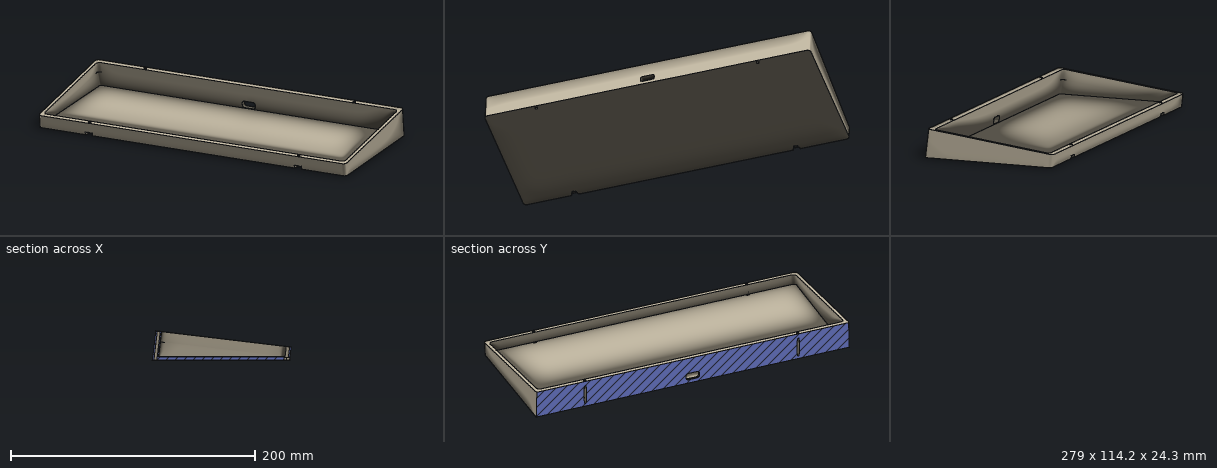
import cadquery as cq
import math

WIDTH = 279.0
DEPTH = 114.2
BACK_HEIGHT = 24.3
TILT = 6.8
CORNER_RADIUS = 3.0

FRONT_WALL = 4.2
BACK_WALL = 5.0
SIDE_WALL = 3.0
POCKET_DEPTH = 8.7
POCKET_RADIUS = 3.3

FLOOR_HEIGHT = 3.0
LOWER_INSET = 1.7
LOWER_RADIUS = 1.5

SCREW_DIAMETER = 2.0
SCREW_SPACING = 189.8
SCREW_CENTER = 0.8
SCREW_EDGE_OFFSET = 2.65
RELIEF_DIAMETER = 4.0
RELIEF_MOUTH = 7.3
RELIEF_HEIGHT = 2.5

PORT_WIDTH = 11.7
PORT_HEIGHT = 5.5
PORT_BOTTOM = 3.5
PORT_RADIUS = 2.0
PORT_OVERRUN = 5.5

tilt_tan = math.tan(math.radians(TILT))
tilt_cos = math.cos(math.radians(TILT))
rim_front = -DEPTH / 2
rim_back = DEPTH / 2 - BACK_HEIGHT * tilt_tan
rim_run = rim_back - rim_front
rim_length = rim_run / tilt_cos
front_height = BACK_HEIGHT - rim_run * tilt_tan

screw_columns = [SCREW_CENTER + side * SCREW_SPACING / 2 for side in (-1, 1)]

rim_plane = cq.Plane(
    origin=(0, rim_front, front_height),
    xDir=(1, 0, 0),
    normal=(0, -tilt_tan, 1),
)


def rim_block(front, back, width, thickness, radius):
    """Round-cornered block in the rim frame, from the rim down to a depth."""
    return (
        cq.Workplane(rim_plane)
        .center(0, (front + back) / 2)
        .rect(width, back - front)
        .extrude(-thickness)
        .edges(cq.selectors.ParallelDirSelector(rim_plane.zDir))
        .fillet(radius)
    )


def above(height):
    """Half-space block above a horizontal level."""
    size = 2 * WIDTH
    return cq.Workplane("XY", origin=(0, 0, height)).rect(size, size).extrude(size)


def outer_wedge():
    block_depth = 2 * BACK_HEIGHT
    return rim_block(0, rim_length, WIDTH, block_depth, CORNER_RADIUS).intersect(above(0))


def upper_pocket():
    return rim_block(
        FRONT_WALL, rim_length - BACK_WALL, WIDTH - 2 * SIDE_WALL, POCKET_DEPTH, POCKET_RADIUS
    )


def lower_pocket():
    """Pocket between the upper pocket and the floor; its sides lean in towards the floor."""
    pocket_back = rim_length - BACK_WALL
    length = pocket_back - FRONT_WALL
    deepest = (BACK_HEIGHT - FLOOR_HEIGHT) / tilt_cos
    half_top = WIDTH / 2 - SIDE_WALL
    half_bottom = half_top - LOWER_INSET
    section_plane = cq.Plane(
        origin=rim_plane.toWorldCoords((0, pocket_back, 0)).toTuple(),
        xDir=(1, 0, 0),
        normal=(0, -1, -tilt_tan),
    )
    prism = (
        cq.Workplane(section_plane)
        .polyline(
            [
                (-half_top, -POCKET_DEPTH),
                (half_top, -POCKET_DEPTH),
                (half_bottom, -deepest),
                (-half_bottom, -deepest),
            ]
        )
        .close()
        .extrude(length)
    )
    return prism.faces(">Y").edges("not |X").fillet(LOWER_RADIUS).intersect(above(FLOOR_HEIGHT))


def screw_holes():
    rows = (SCREW_EDGE_OFFSET, rim_length - SCREW_EDGE_OFFSET)
    points = [(x, row) for x in screw_columns for row in rows]
    circles = cq.Workplane(rim_plane).pushPoints(points).circle(SCREW_DIAMETER / 2)
    return circles.extrude(-2 * BACK_HEIGHT)


def screw_relief(x):
    """Underside pocket that flares from a round seat out through the front face."""
    seat_y = rim_front + front_height * tilt_tan + SCREW_EDGE_OFFSET
    radius = RELIEF_DIAMETER / 2
    return (
        cq.Workplane("XY")
        .moveTo(x - radius, seat_y)
        .threePointArc((x, seat_y + radius), (x + radius, seat_y))
        .lineTo(x + RELIEF_MOUTH / 2, rim_front)
        .lineTo(x - RELIEF_MOUTH / 2, rim_front)
        .close()
        .extrude(RELIEF_HEIGHT)
    )


def cable_port():
    return (
        cq.Workplane("XZ", origin=(0, DEPTH / 2, PORT_BOTTOM + PORT_HEIGHT / 2))
        .rect(PORT_WIDTH, PORT_HEIGHT)
        .extrude(BACK_WALL + PORT_OVERRUN)
        .edges("|Y")
        .fillet(PORT_RADIUS)
    )


result = outer_wedge().cut(upper_pocket()).cut(lower_pocket()).cut(screw_holes()).cut(cable_port())
for screw_x in screw_columns:
    result = result.cut(screw_relief(screw_x))